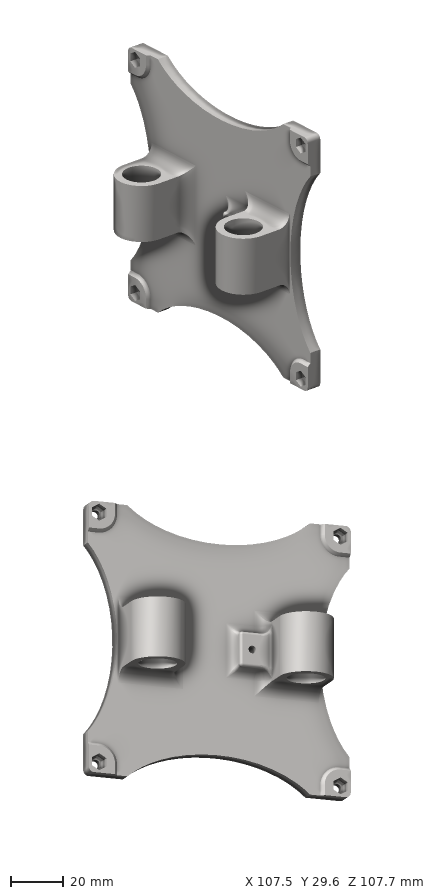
import cadquery as cq
import math

width = 107.5
height = 107.7
plate_thickness = 5.0
corner_radius = 2.0

scallop_depth = 12.0
scallop_half_chord = 37.5
scallop_half_width = 45.2

hole_spacing = 99.1
pad_radius = 7.8
pad_height = 1.3
screw_hole = 3.3
nut_flats = 5.8
nut_depth = 3.0
nut_floor_bevel = 0.8

overall_depth = 29.6
lug_radius = 10.7
lug_bore = 15.0
lug_length = 23.8
lug_offset = 30.5
lug_fillet = 5.1

block_height = lug_fillet
block_left = 6.9
block_half_length = 7.0
block_base_fillet = 3.8
block_edge_fillet = 1.2
block_hole = 3.0
block_hole_x = 11.8

face_y = -plate_thickness
pad_y = face_y - pad_height
pad_depth = plate_thickness + pad_height
lug_axis_y = lug_radius - overall_depth
block_y = face_y - block_height
margin = 0.1


def front_plane(y, x=0, z=0):
    """Workplane facing -Y, local axes along X and Z; extrusions go toward -Y."""
    return cq.Workplane("XZ", origin=(x, y, z))


def box(x_range, y_range, z_range):
    """Axis-aligned box given by its limits along each axis."""
    ranges = (x_range, y_range, z_range)
    sizes = [high - low for low, high in ranges]
    low_corner = tuple(low for low, high in ranges)
    return cq.Workplane("XY").box(*sizes, centered=False).translate(low_corner)


def outline_prism():
    """Rounded square with four scallops, as thick as plate and pads together."""
    chord_fraction = scallop_half_chord / scallop_half_width
    semi_depth = scallop_depth / (1 - math.sqrt(1 - chord_fraction**2))
    overhang = semi_depth - scallop_depth
    prism = front_plane(0).rect(width, height).extrude(pad_depth)
    prism = prism.edges("|Y").fillet(corner_radius)
    for side in (-1, 1):
        x = side * (width / 2 + overhang)
        z = side * (height / 2 + overhang)
        prism = prism.cut(front_plane(0, x=x).ellipse(semi_depth, scallop_half_width).extrude(pad_depth))
        prism = prism.cut(front_plane(0, z=z).ellipse(scallop_half_width, semi_depth).extrude(pad_depth))
    return prism


def pad(side_x, side_z):
    """Oversized rounded pad with a sloped border, to be trimmed by the plate outline."""
    pad_size = 4 * pad_radius
    center = hole_spacing / 2 + pad_size / 2 - pad_radius
    return (
        front_plane(pad_y, side_x * center, side_z * center)
        .rect(pad_size, pad_size)
        .extrude(-pad_depth)
        .edges("|Y")
        .fillet(pad_radius)
        .faces("<Y")
        .chamfer(pad_height)
    )


def plate():
    slab = box((-width / 2, width / 2), (face_y, 0), (-height / 2, height / 2))
    for side_x in (-1, 1):
        for side_z in (-1, 1):
            slab = slab.union(pad(side_x, side_z))
    return outline_prism().intersect(slab)


def nut_hole(x, z):
    """Through hole ending in a hexagonal pocket with corners toward +-Z and a beveled floor."""
    corner_ratio = 2 / math.sqrt(3)
    pocket = (
        front_plane(pad_y + nut_depth + nut_floor_bevel, x, z)
        .transformed(rotate=(0, 0, 90))
        .polygon(6, nut_flats * corner_ratio)
        .extrude(nut_depth + nut_floor_bevel)
        .faces(">Y")
        .chamfer(nut_floor_bevel)
    )
    return front_plane(0, x, z).circle(screw_hole / 2).extrude(pad_depth).union(pocket)


def add_lug(body, side):
    """Add a lug, filleted to the plate on all sides but its outer one."""
    x = side * lug_offset
    half = lug_length / 2
    web = box((x - lug_radius, x + lug_radius), (lug_axis_y, face_y), (-half, half))
    tube = cq.Workplane("XY", origin=(x, lug_axis_y, -half)).circle(lug_radius).extrude(lug_length)
    body = body.union(web.union(tube))

    inner = x - side * (lug_radius + margin)
    outer = x + side * (lug_radius - margin)
    base_edges = cq.selectors.BoxSelector(
        (inner, face_y - margin, -half - margin),
        (outer, face_y + margin, half + margin),
    )
    return body.edges(base_edges).fillet(lug_fillet)


def is_block_edge(edge, lug_wall):
    """True for the block's rim, its corner edges and its top edge along the lug."""
    center = edge.Center()
    on_left = abs(center.x - block_left) < margin
    on_lug = abs(center.x - lug_wall) < margin
    on_end = abs(abs(center.z) - block_half_length) < margin
    on_top = abs(center.y - block_y) < margin
    in_middle = abs(center.z) < margin
    rim = on_top and (on_end or (in_middle and (on_left or on_lug)))
    return rim or (on_left and on_end)


def add_block(body):
    """Add the block, blended into the plate and the lug, with its free edges rounded."""
    lug_wall = lug_offset - lug_radius
    block = box((block_left, lug_offset), (block_y, face_y), (-block_half_length, block_half_length))
    body = body.union(block)
    base_edges = cq.selectors.BoxSelector(
        (block_left - margin, face_y - margin, -block_half_length - margin),
        (lug_wall - margin, face_y + margin, block_half_length + margin),
    )
    body = body.edges(base_edges).fillet(block_base_fillet)
    rounded = [edge for edge in body.edges().vals() if is_block_edge(edge, lug_wall)]
    return body.newObject(rounded).fillet(block_edge_fillet)


def lug_bores():
    """Cylinders along Z through both lugs."""
    centers = [(-lug_offset, lug_axis_y), (lug_offset, lug_axis_y)]
    bores = cq.Workplane("XY", origin=(0, 0, -lug_length / 2)).pushPoints(centers)
    return bores.circle(lug_bore / 2).extrude(lug_length)


body = plate()
for side in (-1, 1):
    body = add_lug(body, side)
body = add_block(body)

body = body.cut(lug_bores())
body = body.cut(front_plane(0, x=block_hole_x).circle(block_hole / 2).extrude(overall_depth))
for side_x in (-1, 1):
    for side_z in (-1, 1):
        body = body.cut(nut_hole(side_x * hole_spacing / 2, side_z * hole_spacing / 2))

result = body